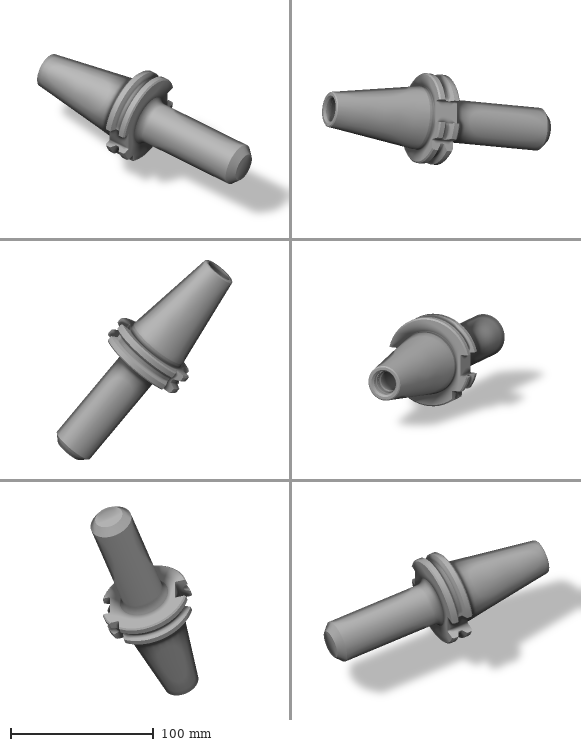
import cadquery as cq
import math

total_length = 168.2

gauge_radius = 22.2
gauge_x = 67.8
taper_slope = 7 / 48
small_end_radius = gauge_radius - gauge_x * taper_slope
small_end_chamfer = 0.7
relief_length = 1.0
relief_depth = 0.2
neck_x = gauge_x + relief_length
neck_radius = gauge_radius - relief_depth
root_fillet = 0.7

flange_diameter = 63.5
flange_radius = flange_diameter / 2
flange_start = 71.2
flange_width = 16.2
flange_end = flange_start + flange_width
flange_middle = flange_start + flange_width / 2
flange_chamfer = 1.0
groove_radius = 28.0
groove_floor_width = 2.7
groove_corner_fillet = 0.5
groove_flank_angle = 30
groove_half_floor = groove_floor_width / 2
groove_half_mouth = groove_half_floor + (flange_radius - groove_radius) * math.tan(
    math.radians(groove_flank_angle)
)

shank_diameter = 30.1
shank_radius = shank_diameter / 2
shank_end_chamfer = 5.0
shank_blend_length = 5.2
shank_blend_rise = 2.7
shank_blend_radius = (shank_blend_length**2 + shank_blend_rise**2) / (2 * shank_blend_rise)

slot_width = 16.0
slot_floor_front = 25.0
slot_floor_back = 22.7
slot_fillet = 1.0
clear_radius = 1.5 * flange_radius
notch_y = 18.5
notch_z = 18.5

mouth_radius = 9.8
counterbore_diameter = 17.0
counterbore_radius = counterbore_diameter / 2
mouth_depth = 1.7
counterbore_depth = 4.7
recess_radius = 8.0
recess_depth = 7.0
thread_radius = 7.9
thread_depth = 8.5
core_diameter = 14.0
core_radius = core_diameter / 2
core_depth = 32.0
drill_tip_angle = 118


def make_body():
    """Revolved outer shape: taper, grooved flange and shank."""
    blend_mid_angle = math.asin(shank_blend_length / shank_blend_radius) / 2
    blend_end_x = flange_end + shank_blend_length
    blend_mid = (
        blend_end_x - shank_blend_radius * math.sin(blend_mid_angle),
        shank_radius + shank_blend_radius * (1 - math.cos(blend_mid_angle)),
    )
    fillet_mid_offset = root_fillet * math.sqrt(0.5)
    fillet_mid = (
        flange_start - root_fillet + fillet_mid_offset,
        neck_radius + root_fillet - fillet_mid_offset,
    )
    profile = (
        cq.Workplane("XY")
        .lineTo(0, small_end_radius - small_end_chamfer)
        .lineTo(small_end_chamfer, small_end_radius + small_end_chamfer * taper_slope)
        .lineTo(gauge_x, gauge_radius)
        .lineTo(neck_x, neck_radius)
        .lineTo(flange_start - root_fillet, neck_radius)
        .threePointArc(fillet_mid, (flange_start, neck_radius + root_fillet))
        .lineTo(flange_start, flange_radius - flange_chamfer)
        .lineTo(flange_start + flange_chamfer, flange_radius)
        .lineTo(flange_middle - groove_half_mouth, flange_radius)
        .lineTo(flange_middle - groove_half_floor, groove_radius)
        .lineTo(flange_middle + groove_half_floor, groove_radius)
        .lineTo(flange_middle + groove_half_mouth, flange_radius)
        .lineTo(flange_end - flange_chamfer, flange_radius)
        .lineTo(flange_end, flange_radius - flange_chamfer)
        .lineTo(flange_end, shank_radius + shank_blend_rise)
        .threePointArc(blend_mid, (blend_end_x, shank_radius))
        .lineTo(total_length - shank_end_chamfer, shank_radius)
        .lineTo(total_length, shank_radius - shank_end_chamfer)
        .lineTo(total_length, 0)
        .close()
    )
    body = profile.revolve(360, (0, 0, 0), (1, 0, 0))
    groove_zone = cq.selectors.BoxSelector(
        (flange_middle - groove_floor_width, -flange_radius, -flange_radius),
        (flange_middle + groove_floor_width, flange_radius, flange_radius),
    )
    return body.edges("%CIRCLE").edges(groove_zone).fillet(groove_corner_fillet)


def flange_cutter(y_inner, y_outer, z_low, z_high):
    """Block spanning the flange width, between the given Y and Z limits."""
    block = cq.Workplane("XY").box(flange_width, abs(y_outer - y_inner), z_high - z_low)
    center = (flange_middle, (y_inner + y_outer) / 2, (z_low + z_high) / 2)
    return block.translate(center)


def make_drive_slot(side, floor_distance):
    """Drive slot on the +Y (side=1) or -Y (side=-1) flank, with rounded floor corners."""
    block = flange_cutter(
        side * floor_distance, side * clear_radius, -slot_width / 2, slot_width / 2
    )
    floor_face = "<Y" if side > 0 else ">Y"
    return block.faces(floor_face).edges("|X").fillet(slot_fillet)


def make_notch():
    """Orientation notch in the -Y, -Z quarter, with a rounded inner corner."""
    block = flange_cutter(-notch_y, -clear_radius, -clear_radius, -notch_z)
    return block.edges("|X and >Y and >Z").fillet(slot_fillet)


def make_bore():
    """Stepped blind bore with a conical drill tip."""
    tip_length = core_radius / math.tan(math.radians(drill_tip_angle / 2))
    return (
        cq.Workplane("XY")
        .lineTo(0, mouth_radius)
        .lineTo(mouth_depth, counterbore_radius)
        .lineTo(counterbore_depth, counterbore_radius)
        .lineTo(counterbore_depth, recess_radius)
        .lineTo(recess_depth, recess_radius)
        .lineTo(recess_depth, thread_radius)
        .lineTo(thread_depth, thread_radius)
        .lineTo(thread_depth + thread_radius - core_radius, core_radius)
        .lineTo(core_depth, core_radius)
        .lineTo(core_depth + tip_length, 0)
        .close()
        .revolve(360, (0, 0, 0), (1, 0, 0))
    )


result = (
    make_body()
    .cut(make_drive_slot(-1, slot_floor_front))
    .cut(make_drive_slot(1, slot_floor_back))
    .cut(make_notch())
    .cut(make_bore())
)